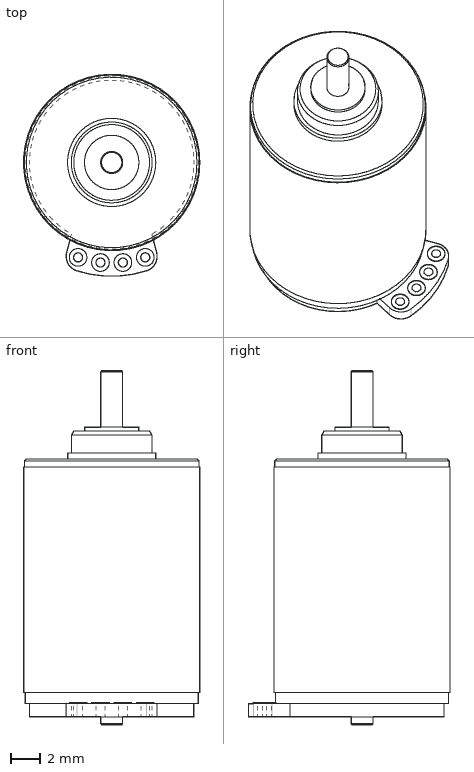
import cadquery as cq
import math


chamfer_lean = math.radians(30)

shaft_diameter = 1.5
shaft_top = 6.0
shaft_bottom = -18.1
shaft_chamfer_height = 0.1

flange_diameter = 6.0
flange_top = 0.4
collar_diameter = 5.5
collar_top = 1.9
collar_chamfer_height = 0.3
bearing_ring_diameter = 3.7
bearing_ring_top = 2.15

front_cap_diameter = 11.9
front_cap_length = 0.55
front_cap_chamfer = 0.15
housing_diameter = 12.0
housing_bottom = -15.9
rear_cap_diameter = 11.8
rear_cap_bottom = -16.65

board_diameter = 11.2
board_bottom = -17.55
board_thickness = rear_cap_bottom - board_bottom
tab_outer_radius = 7.75
tab_half_width = 3.1
tab_corner_radius = 1.05
tab_side_lean = math.radians(15)
tab_root_y = -4.0

terminal_count = 4
terminal_pitch = 1.524
terminal_arc_radius = 6.85
terminal_hole_diameter = 0.6
pad_diameter = 1.2
pad_height = 0.06


def cylinder(diameter, bottom, top):
    """Solid cylinder on the motor axis between two heights."""
    return cq.Workplane("XY").workplane(offset=bottom).circle(diameter / 2).extrude(top - bottom)


def tapered_cylinder(diameter, base, end, chamfer_height):
    """Cylinder on the motor axis with a slender chamfer at its end, above or below the base."""
    radius = diameter / 2
    chamfer_inset = chamfer_height * math.tan(chamfer_lean)
    chamfer_start = end - math.copysign(chamfer_height, end - base)
    outline = [
        (0, base),
        (radius, base),
        (radius, chamfer_start),
        (radius - chamfer_inset, end),
        (0, end),
    ]
    return cq.Workplane("XZ").polyline(outline).close().revolve(360, (0, 0), (0, 1))


def make_shaft():
    """Through shaft, chamfered at both ends."""
    front = tapered_cylinder(shaft_diameter, 0, shaft_top, shaft_chamfer_height)
    rear = tapered_cylinder(shaft_diameter, 0, shaft_bottom, shaft_chamfer_height)
    return front.union(rear)


def make_bearing():
    """Flange, chamfered collar and thin ring stacked on the front face."""
    flange = cylinder(flange_diameter, 0, flange_top)
    collar = tapered_cylinder(collar_diameter, 0, collar_top, collar_chamfer_height)
    ring = cylinder(bearing_ring_diameter, 0, bearing_ring_top)
    return flange.union(collar).union(ring)


def make_housing():
    """Main can with slightly smaller front and rear caps."""
    front_cap = cylinder(front_cap_diameter, -front_cap_length, 0)
    front_cap = front_cap.faces(">Z").chamfer(front_cap_chamfer)
    can = cylinder(housing_diameter, housing_bottom, -front_cap_length)
    rear_cap = cylinder(rear_cap_diameter, rear_cap_bottom, housing_bottom)
    return can.union(front_cap).union(rear_cap)


def make_tab():
    """Terminal tab: leaning sides, rounded corners and an end arc about the motor axis."""
    corner_x = tab_half_width - tab_corner_radius
    corner_distance = tab_outer_radius - tab_corner_radius
    corner_angle = math.asin(corner_x / corner_distance)
    corner_y = -corner_distance * math.cos(corner_angle)

    def corner_point(angle):
        """Point on the +X corner arc, with the angle measured from -Y towards +X."""
        x = corner_x + tab_corner_radius * math.sin(angle)
        y = corner_y - tab_corner_radius * math.cos(angle)
        return x, y

    def mirrored(point):
        return -point[0], point[1]

    side_angle = math.pi / 2 + tab_side_lean
    side_end = corner_point(side_angle)
    corner_middle = corner_point((side_angle + corner_angle) / 2)
    end_arc_start = corner_point(corner_angle)
    root_x = side_end[0] - (tab_root_y - side_end[1]) * math.tan(tab_side_lean)
    root = (root_x, tab_root_y)

    outline = (
        cq.Workplane("XY")
        .workplane(offset=board_bottom)
        .moveTo(*root)
        .lineTo(*side_end)
        .threePointArc(corner_middle, end_arc_start)
        .threePointArc((0, -tab_outer_radius), mirrored(end_arc_start))
        .threePointArc(mirrored(corner_middle), mirrored(side_end))
        .lineTo(*mirrored(root))
        .close()
    )
    return outline.extrude(board_thickness)


def terminal_centers():
    """XY centers of the terminals on their arc."""
    centers = []
    for index in range(terminal_count):
        x = (index - (terminal_count - 1) / 2) * terminal_pitch
        centers.append((x, -math.sqrt(terminal_arc_radius**2 - x**2)))
    return centers


def make_board():
    """Round board with tab, raised solder pads and through holes."""
    centers = terminal_centers()
    board = cylinder(board_diameter, board_bottom, rear_cap_bottom).union(make_tab())
    pads = (
        cq.Workplane("XY")
        .workplane(offset=rear_cap_bottom)
        .pushPoints(centers)
        .circle(pad_diameter / 2)
        .extrude(pad_height)
    )
    holes = (
        cq.Workplane("XY")
        .workplane(offset=board_bottom)
        .pushPoints(centers)
        .circle(terminal_hole_diameter / 2)
        .extrude(board_thickness + pad_height)
    )
    return board.union(pads).cut(holes)


result = make_housing().union(make_bearing()).union(make_board()).union(make_shaft())